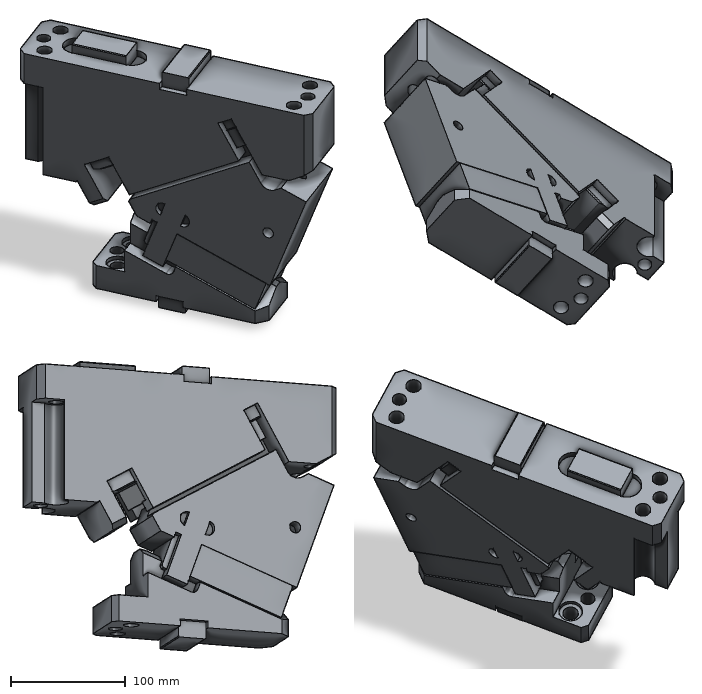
import cadquery as cq
import math

WIDTH = 60.0
HALF_WIDTH = WIDTH / 2

HOLDER_LENGTH = 277.0
HOLDER_TOP = 225.2
HOLDER_CHAMFER = 6.0
COLUMN_BOTTOM = 105.0
COLUMN_RIGHT = 55.0
LUG_BOTTOM = 154.5
LUG_LEFT = 231.3
LUG_SLOPE_START = 256.5
LUG_RIGHT_BOTTOM = 166.5
BOLT_POCKET_TOP = 194.5
BOLT_POCKET_DEPTH = 23.8
BOLT_POCKET_HALF_GAP = 11.5
BOLT_CLEARANCE_RADIUS = 10.8

BOLT_INSET = 20.5
BOLT_Y = 18.0
BOLT_RADIUS = 6.6
LEFT_DOWEL_INSET = 12.2
RIGHT_DOWEL_INSET = 15.0
DOWEL_RADIUS = 6.0

KEY_WIDTH = 25.5
KEY_LENGTH = 49.9
KEY_HEIGHT = 15.0
KEY_SEAT_DEPTH = 6.0
KEY_CHAMFER = 0.8
TOP_KEY_X = 147.0
BOTTOM_KEY_X = 143.8
PAD_X = 69.8
PAD_LENGTH = 51.0
PAD_WIDTH = 25.5
PAD_POCKET_LENGTH = 77.3

GUIDE_ANGLE = 30
GUIDE_X = 105.8
GUIDE_Z = 104.0
GUIDE_LENGTH = 119.5
SLOT_TOP = 39.3
LEFT_SLOT_WIDTH = 26.5
RIGHT_SLOT_END = 134.0
LEG_LEFT = -41.5
LEG_BOTTOM = -1.0
LEG_ROOT = 27.0
LEG_CHAMFER = 5.0
ROOF_PAD_BOTTOM = 27.5
ROOF_PAD_START = -25.5
ROOF_PAD_RISE = 2.5
ROOF_PAD_LEAD = 9.0
ROOF_PAD_CHAMFER = 1.0
NECK_HALF_WIDTH = 13.8
HEAD_HALF_WIDTH = 22.7
HEAD_BOTTOM = 9.5
HEAD_START = 38.8

SHOULDER = -4.2
SLIDER_LEFT = -4.2
SLIDER_RIGHT = 128.5
SLIDER_LEFT_EDGE_V = -5.8
NECK_END_TOP = 4.5

RAMP_ANGLE = -20
RAMP_X = 101.0
RAMP_Z = 58.0
ROOF_ANGLE = 30
RIDGE_TOP = 15.0
RIDGE_HALF_WIDTH = 17.0
RIDGE_CAP_Z = 71.2
RELIEF_FLOOR = -11.5
RELIEF_END = 51.5
RELIEF_RADIUS = 5.5

SLIDER_CORNER_U = 2.2
SLIDER_UNDERSIDE = 28.3
STRIP_FACE = 15.5
STRIP_BOTTOM = 0.8
STRIP_BEVEL = 2.0
STRIP_HALF_WIDTH = 22.7
STRIP_RECESS_TOP = 33.0
FOOT_LEFT = 20.8
FOOT_RIGHT = 41.0
FOOT_BOTTOM = -6.6
RUNNER_END = 130.7
RUNNER_TOP = 32.5
RUNNER_HALF_WIDTH = 29.6
RUNNER_BOTTOM = 1.5
SLIDER_END = 134.5
SLIDER_TOP = 132.7
SLIDER_TOP_START = 109.5
GROOVE_RADIUS = 10.0
HALF_MOON_RADIUS = 6.5
HALF_MOON_V = 48.5
HALF_MOON_DEPTH = 5.0
SIDE_HOLE_U = 114.7
SIDE_HOLE_V = 82.5
SIDE_HOLE_RADIUS = 5.0
SIDE_HOLE_DEPTH = 13.8
TOP_HOLE_U = 118.0
TOP_HOLE_RADIUS = 3.3
TOP_HOLE_DEPTH = 19.5
DRILL_CONE_ANGLE = 30

BASE_LEFT = 69.2
BASE_RIGHT = 234.0
BASE_FLANGE_TOP = 23.5
BASE_LEFT_CHAMFER = 5.0
BASE_RIGHT_CHAMFER = 9.5
COUNTERBORE_RADIUS = 10.2
COUNTERBORE_DEPTH = 3.5


def slanted_point(u, v, origin_x, origin_z, angle):
    """Return the (x, z) place of a point given in a tilted frame."""
    cos_a = math.cos(math.radians(angle))
    sin_a = math.sin(math.radians(angle))
    return (origin_x + u * cos_a - v * sin_a, origin_z + u * sin_a + v * cos_a)


def guide(u, v):
    return slanted_point(u, v, GUIDE_X, GUIDE_Z, GUIDE_ANGLE)


def ramp(u, v):
    return slanted_point(u, v, RAMP_X, RAMP_Z, RAMP_ANGLE)


def plate(points, y_min=-HALF_WIDTH, y_max=HALF_WIDTH):
    """Extrude a closed (x, z) outline between two Y values."""
    outline = cq.Workplane("XZ", origin=(0, y_max, 0)).polyline(points).close()
    return outline.extrude(y_max - y_min)


def slanted_block(frame, u_min, u_max, v_min, v_max, y_min=-HALF_WIDTH, y_max=HALF_WIDTH):
    corners = [(u_min, v_min), (u_max, v_min), (u_max, v_max), (u_min, v_max)]
    return plate([frame(u, v) for u, v in corners], y_min, y_max)


def slanted_bar(frame, angle, start_u, length, section):
    """Extrude a (y, v) section along the u direction of a tilted frame."""
    x, z = frame(start_u, 0)
    slope = math.radians(angle)
    along = (math.cos(slope), 0, math.sin(slope))
    section_plane = cq.Plane(origin=(x, 0, z), xDir=(0, 1, 0), normal=along)
    return cq.Workplane(section_plane).polyline(section).close().extrude(length)


def vertical_cylinder(x, y, radius, z_min, z_max):
    return cq.Workplane("XY", origin=(x, y, z_min)).circle(radius).extrude(z_max - z_min)


def mirrored_pair(solid):
    """Return a solid together with its mirror image across the centre plane."""
    return solid.union(solid.mirror("XZ"))


def upright_box(x_min, x_max, y_min, y_max, z_min, z_max):
    size = (x_max - x_min, y_max - y_min, z_max - z_min)
    return cq.Workplane("XY", origin=(x_min, y_min, z_min)).box(*size, centered=False)


def add_key(body, x, seat_z, direction):
    """Seat a cross key in a full-width groove; direction is +1 for upward, -1 for downward."""
    floor_z = seat_z - direction * KEY_SEAT_DEPTH
    middle_z = floor_z + direction * KEY_HEIGHT / 2
    outer_face = ">Z" if direction > 0 else "<Z"
    groove = cq.Workplane("XY", origin=(x, 0, middle_z)).box(KEY_WIDTH, WIDTH, KEY_HEIGHT)
    key = cq.Workplane("XY", origin=(x, 0, middle_z)).box(KEY_WIDTH, KEY_LENGTH, KEY_HEIGHT)
    key = key.faces(outer_face).edges("|Y").chamfer(KEY_CHAMFER)
    return body.cut(groove).union(key)


def holder_blank():
    blank = plate([
        (0, HOLDER_TOP),
        (HOLDER_LENGTH, HOLDER_TOP),
        (HOLDER_LENGTH, LUG_RIGHT_BOTTOM),
        (LUG_SLOPE_START, LUG_BOTTOM),
        (LUG_LEFT, LUG_BOTTOM),
        guide(RIGHT_SLOT_END, SLOT_TOP),
        guide(GUIDE_LENGTH, SLOT_TOP),
        guide(GUIDE_LENGTH, 0),
        guide(0, 0),
        guide(0, SLOT_TOP),
        guide(-LEFT_SLOT_WIDTH, SLOT_TOP),
        guide(-LEFT_SLOT_WIDTH, LEG_BOTTOM),
        guide(LEG_LEFT, LEG_BOTTOM),
        guide(LEG_LEFT, LEG_ROOT),
        (COLUMN_RIGHT, COLUMN_BOTTOM),
        (0, COLUMN_BOTTOM),
    ])
    return blank.edges("|Z").edges("<X or >X").chamfer(HOLDER_CHAMFER)


def leg_corner_cuts():
    """Cut the two lower corners of the leg that hangs beside the left slot."""
    corner = [
        (HALF_WIDTH, LEG_BOTTOM),
        (HALF_WIDTH - LEG_CHAMFER, LEG_BOTTOM),
        (HALF_WIDTH, LEG_BOTTOM + LEG_CHAMFER),
    ]
    leg_width = -LEFT_SLOT_WIDTH - LEG_LEFT
    return mirrored_pair(slanted_bar(guide, GUIDE_ANGLE, LEG_LEFT, leg_width, corner))


def tee_passage():
    """Return the T-shaped way in which the slider neck and head run."""
    neck = slanted_block(guide, 0, GUIDE_LENGTH, 0, HEAD_BOTTOM, -NECK_HALF_WIDTH, NECK_HALF_WIDTH)
    head = slanted_block(
        guide, 0, GUIDE_LENGTH, HEAD_BOTTOM, ROOF_PAD_BOTTOM, -HEAD_HALF_WIDTH, HEAD_HALF_WIDTH
    )
    return neck.union(head)


def roof_pad():
    """Return the sliding pad over the T-way, with a lead-in at its left end."""
    outline = [
        (ROOF_PAD_START, SLOT_TOP),
        (ROOF_PAD_START, ROOF_PAD_BOTTOM + ROOF_PAD_RISE),
        (ROOF_PAD_START + ROOF_PAD_LEAD, ROOF_PAD_BOTTOM),
        (RIGHT_SLOT_END, ROOF_PAD_BOTTOM),
        (RIGHT_SLOT_END, SLOT_TOP),
    ]
    pad = plate([guide(u, v) for u, v in outline], -HEAD_HALF_WIDTH, HEAD_HALF_WIDTH)
    middle_x, middle_z = guide(GUIDE_LENGTH / 2, ROOF_PAD_BOTTOM)
    for edge_y in (-HEAD_HALF_WIDTH, HEAD_HALF_WIDTH):
        lower_edge = cq.selectors.NearestToPointSelector((middle_x, edge_y, middle_z))
        pad = pad.edges(lower_edge).chamfer(ROOF_PAD_CHAMFER)
    return pad


def bolt_pockets():
    """Open the two left corners of the column around the bolts."""
    cheek = upright_box(
        0, BOLT_POCKET_DEPTH, BOLT_POCKET_HALF_GAP, HALF_WIDTH, COLUMN_BOTTOM, BOLT_POCKET_TOP
    )
    bore = vertical_cylinder(
        BOLT_INSET, BOLT_Y, BOLT_CLEARANCE_RADIUS, COLUMN_BOTTOM, BOLT_POCKET_TOP
    )
    return mirrored_pair(cheek.union(bore))


def bolt_pair(x, radius, z_min, z_max):
    return mirrored_pair(vertical_cylinder(x, BOLT_Y, radius, z_min, z_max))


def add_pad(body):
    """Seat the small pad in its round-ended pocket on top of the holder."""
    floor_z = HOLDER_TOP - KEY_SEAT_DEPTH
    pocket = (
        cq.Workplane("XY", origin=(PAD_X, 0, floor_z))
        .slot2D(PAD_POCKET_LENGTH, PAD_WIDTH)
        .extrude(KEY_SEAT_DEPTH)
    )
    pad = cq.Workplane("XY", origin=(PAD_X, 0, floor_z + KEY_HEIGHT / 2)).box(
        PAD_LENGTH, PAD_WIDTH, KEY_HEIGHT
    )
    pad = pad.faces(">Z").edges("|X").chamfer(KEY_CHAMFER)
    return body.cut(pocket).union(pad)


def make_holder():
    body = holder_blank()
    body = body.cut(leg_corner_cuts())
    body = body.cut(tee_passage())
    body = body.union(roof_pad())
    body = body.cut(bolt_pockets())
    right_bolt_x = HOLDER_LENGTH - BOLT_INSET
    right_dowel_x = HOLDER_LENGTH - RIGHT_DOWEL_INSET
    for x in (BOLT_INSET, right_bolt_x):
        body = body.cut(bolt_pair(x, BOLT_RADIUS, COLUMN_BOTTOM, HOLDER_TOP))
    for x in (LEFT_DOWEL_INSET, right_dowel_x):
        body = body.cut(vertical_cylinder(x, 0, DOWEL_RADIUS, COLUMN_BOTTOM, HOLDER_TOP))
    body = add_key(body, TOP_KEY_X, HOLDER_TOP, 1)
    return add_pad(body)


def base_blank():
    """Extrude the side outline; its sloping top edge is the crest of the ridge."""
    slope = math.tan(math.radians(RAMP_ANGLE))
    crest_start_x, crest_start_z = ramp(0, RIDGE_TOP)
    crest_end_z = crest_start_z + (BASE_RIGHT - crest_start_x) * slope
    cap_end_x = crest_start_x + (RIDGE_CAP_Z - crest_start_z) / slope
    blank = plate([
        (BASE_LEFT, 0),
        (BASE_RIGHT, 0),
        (BASE_RIGHT, crest_end_z),
        (cap_end_x, RIDGE_CAP_Z),
        (RAMP_X, RIDGE_CAP_Z),
        (RAMP_X, BASE_FLANGE_TOP),
        (BASE_LEFT, BASE_FLANGE_TOP),
    ])
    blank = blank.edges("|Z and <X").chamfer(BASE_LEFT_CHAMFER)
    return blank.edges("|Z and >X").chamfer(BASE_RIGHT_CHAMFER)


def roof_cuts():
    """Slope the top down from the crest to both long sides."""
    crest_half_width = HALF_WIDTH - RIDGE_TOP / math.tan(math.radians(ROOF_ANGLE))
    wedge_top = 2 * RIDGE_TOP
    wedge = [
        (HALF_WIDTH, 0),
        (crest_half_width, RIDGE_TOP),
        (crest_half_width, wedge_top),
        (HALF_WIDTH, wedge_top),
    ]
    start_u = -RIDGE_TOP
    length = BASE_RIGHT - BASE_LEFT
    return mirrored_pair(slanted_bar(ramp, RAMP_ANGLE, start_u, length, wedge))


def relief_cuts():
    """Clear both sides of the ridge where the slider foot runs."""
    relief_top = 2 * RIDGE_TOP
    side = slanted_block(
        ramp, -RELIEF_END, RELIEF_END, RELIEF_FLOOR, relief_top, RIDGE_HALF_WIDTH, HALF_WIDTH
    )
    corner_x, corner_z = ramp(RELIEF_END, RELIEF_FLOOR)
    inner_corner = cq.selectors.NearestToPointSelector((corner_x, HALF_WIDTH, corner_z))
    side = side.edges("|Y").edges(inner_corner).fillet(RELIEF_RADIUS)
    return mirrored_pair(side)


def make_base():
    body = base_blank()
    body = body.cut(roof_cuts())
    body = body.cut(relief_cuts())
    bolt_x = BASE_LEFT + BOLT_INSET
    dowel_x = BASE_LEFT + LEFT_DOWEL_INSET
    counterbore_floor = BASE_FLANGE_TOP - COUNTERBORE_DEPTH
    body = body.cut(bolt_pair(bolt_x, BOLT_RADIUS, 0, BASE_FLANGE_TOP))
    body = body.cut(bolt_pair(bolt_x, COUNTERBORE_RADIUS, counterbore_floor, BASE_FLANGE_TOP))
    body = body.cut(vertical_cylinder(dowel_x, 0, DOWEL_RADIUS, 0, BASE_FLANGE_TOP))
    return add_key(body, BOTTOM_KEY_X, 0, -1)


def slider_end_u(v):
    """Return the guide u of the slider's upper left end face, which is square to the ramp."""
    angle_to_guide = math.radians(90 + RAMP_ANGLE - GUIDE_ANGLE)
    return SLIDER_LEFT + (v - SLIDER_LEFT_EDGE_V) / math.tan(angle_to_guide)


def groove_corner():
    """Return where the slider's right guide face meets the square line from its top edge."""
    start_x, start_z = guide(0, 0)
    top_x, top_z = ramp(SLIDER_TOP_START, SLIDER_TOP)
    slope = math.radians(GUIDE_ANGLE)
    groove_v = (top_z - start_z) * math.cos(slope) - (top_x - start_x) * math.sin(slope)
    return guide(SLIDER_RIGHT, groove_v)


def slider_blank():
    """Extrude the side outline below the shoulder, with the round groove at its upper right."""
    groove_bottom = groove_corner()
    blank = plate([
        guide(slider_end_u(SHOULDER), SHOULDER),
        guide(SLIDER_RIGHT, SHOULDER),
        groove_bottom,
        ramp(SLIDER_TOP_START, SLIDER_TOP),
        ramp(SLIDER_END, SLIDER_TOP),
        ramp(SLIDER_END, RUNNER_TOP),
        ramp(RUNNER_END, RUNNER_TOP),
        ramp(RUNNER_END, RUNNER_BOTTOM),
        ramp(FOOT_RIGHT, RUNNER_BOTTOM),
        ramp(FOOT_RIGHT, FOOT_BOTTOM),
        ramp(FOOT_LEFT, FOOT_BOTTOM),
        ramp(FOOT_LEFT, STRIP_BOTTOM),
        ramp(STRIP_FACE + STRIP_BEVEL, STRIP_BOTTOM),
        ramp(STRIP_FACE, STRIP_BOTTOM + STRIP_BEVEL),
        ramp(STRIP_FACE, SLIDER_UNDERSIDE),
        ramp(SLIDER_CORNER_U, SLIDER_UNDERSIDE),
        guide(SLIDER_LEFT, SLIDER_LEFT_EDGE_V),
    ])
    corner = cq.selectors.NearestToPointSelector((groove_bottom[0], 0, groove_bottom[1]))
    return blank.edges("|Y").edges(corner).fillet(GROOVE_RADIUS)


def slider_tee():
    """Return the neck and head that hang the slider in the holder."""
    neck_outline = [
        (slider_end_u(SHOULDER), SHOULDER),
        (slider_end_u(NECK_END_TOP), NECK_END_TOP),
        (HEAD_START, NECK_END_TOP),
        (HEAD_START, HEAD_BOTTOM),
        (SLIDER_RIGHT, HEAD_BOTTOM),
        (SLIDER_RIGHT, SHOULDER),
    ]
    neck = plate([guide(u, v) for u, v in neck_outline], -NECK_HALF_WIDTH, NECK_HALF_WIDTH)
    head = slanted_block(
        guide, HEAD_START, SLIDER_RIGHT, HEAD_BOTTOM, ROOF_PAD_BOTTOM,
        -HEAD_HALF_WIDTH, HEAD_HALF_WIDTH
    )
    return neck.union(head)


def runner_side_cuts():
    """Set the runner behind the foot back from both sides."""
    return mirrored_pair(slanted_block(
        ramp, FOOT_RIGHT, RUNNER_END, RUNNER_BOTTOM, RUNNER_TOP, RUNNER_HALF_WIDTH, HALF_WIDTH
    ))


def strip_side_cuts():
    """Leave a narrower strip standing proud on the left face of the foot."""
    return mirrored_pair(slanted_block(
        ramp, STRIP_FACE, FOOT_LEFT, STRIP_BOTTOM, STRIP_RECESS_TOP, STRIP_HALF_WIDTH, HALF_WIDTH
    ))


def half_moon_pockets():
    """Cut a half-round pocket on each edge of the foot's upward extension."""
    pockets = cq.Workplane("XY")
    floor_y = HALF_WIDTH - HALF_MOON_DEPTH
    for u, left_side in ((FOOT_LEFT, True), (FOOT_RIGHT, False)):
        x, z = ramp(u, HALF_MOON_V)
        disc = cq.Workplane("XZ", origin=(x, HALF_WIDTH, z)).circle(HALF_MOON_RADIUS)
        disc = disc.extrude(HALF_MOON_DEPTH)
        u_min = u - HALF_MOON_RADIUS if left_side else u
        half = slanted_block(
            ramp, u_min, u_min + HALF_MOON_RADIUS,
            HALF_MOON_V - HALF_MOON_RADIUS, HALF_MOON_V + HALF_MOON_RADIUS, floor_y, HALF_WIDTH
        )
        pockets = pockets.add(disc.intersect(half))
    return mirrored_pair(pockets.combine())


def drilled_hole(entry, direction, radius, depth):
    """Return a round hole with a cone at its end, drilled from a point along a direction."""
    entry = cq.Vector(*entry)
    direction = cq.Vector(*direction)
    cone_depth = radius * math.tan(math.radians(DRILL_CONE_ANGLE))
    bore = cq.Solid.makeCylinder(radius, depth, entry, direction)
    tip = cq.Solid.makeCone(radius, 0, cone_depth, entry + direction * depth, direction)
    return cq.Workplane(bore.fuse(tip))


def side_holes():
    x, z = ramp(SIDE_HOLE_U, SIDE_HOLE_V)
    entry = (x, HALF_WIDTH, z)
    return mirrored_pair(drilled_hole(entry, (0, -1, 0), SIDE_HOLE_RADIUS, SIDE_HOLE_DEPTH))


def top_hole():
    x, z = ramp(TOP_HOLE_U, SLIDER_TOP)
    slope = math.radians(RAMP_ANGLE)
    into_face = (math.sin(slope), 0, -math.cos(slope))
    return drilled_hole((x, 0, z), into_face, TOP_HOLE_RADIUS, TOP_HOLE_DEPTH)


def make_slider(base):
    body = slider_blank()
    body = body.union(slider_tee())
    body = body.cut(runner_side_cuts())
    body = body.cut(strip_side_cuts())
    body = body.cut(half_moon_pockets())
    body = body.cut(side_holes())
    body = body.cut(top_hole())
    return body.cut(base)


holder = make_holder()
base = make_base()
slider = make_slider(base)
result = cq.Compound.makeCompound([holder.val(), slider.val(), base.val()])